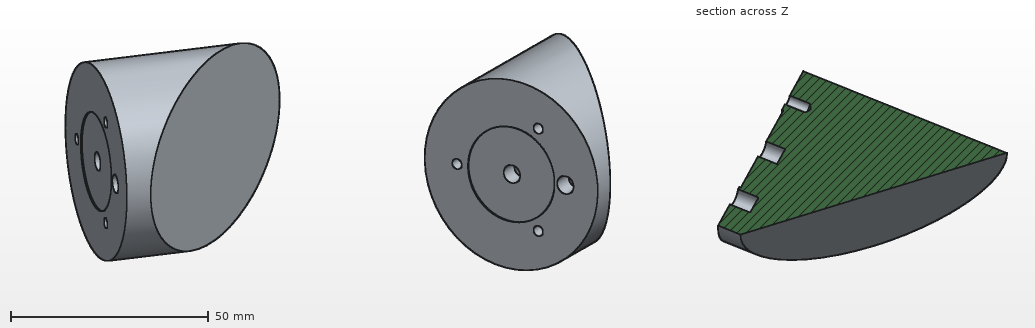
import cadquery as cq
import math

diameter = 50.8
length = 57.15
radius = diameter / 2
short_side = length - diameter

recess_diameter = diameter / 2
recess_depth = 0.4

pin_hole_diameter = 4.8
pin_hole_depth = 5.7

hole_circle_radius = 15.9
drill_diameter = 2.75
drill_depth = 5.7
drill_point_angle = 118.0
drill_angles = (60, 180, 300)


def base_cylinder(hole_diameter, depth, x=0.0, z=0.0):
    """Cylinder running from the base plane into the part along +Y."""
    return cq.Workplane(
        cq.Solid.makeCylinder(hole_diameter / 2, depth, cq.Vector(x, 0, z), cq.Vector(0, 1, 0))
    )


def drilled_hole(angle):
    """Blind hole with a drill point, placed on the hole circle."""
    x = hole_circle_radius * math.cos(math.radians(angle))
    z = hole_circle_radius * math.sin(math.radians(angle))
    point_length = drill_diameter / 2 / math.tan(math.radians(drill_point_angle / 2))
    point = cq.Solid.makeCone(
        drill_diameter / 2, 0, point_length, cq.Vector(x, drill_depth, z), cq.Vector(0, 1, 0)
    )
    return base_cylinder(drill_diameter, drill_depth, x, z).union(cq.Workplane(point))


wedge = (
    cq.Workplane("XY")
    .polyline([(-radius, 0), (radius, 0), (radius, short_side), (-radius, length)])
    .close()
    .extrude(radius, both=True)
)
result = base_cylinder(diameter, length).intersect(wedge)

result = result.cut(base_cylinder(recess_diameter, recess_depth))
result = result.cut(base_cylinder(pin_hole_diameter, pin_hole_depth))
result = result.cut(base_cylinder(pin_hole_diameter, pin_hole_depth, x=hole_circle_radius))
for angle in drill_angles:
    result = result.cut(drilled_hole(angle))